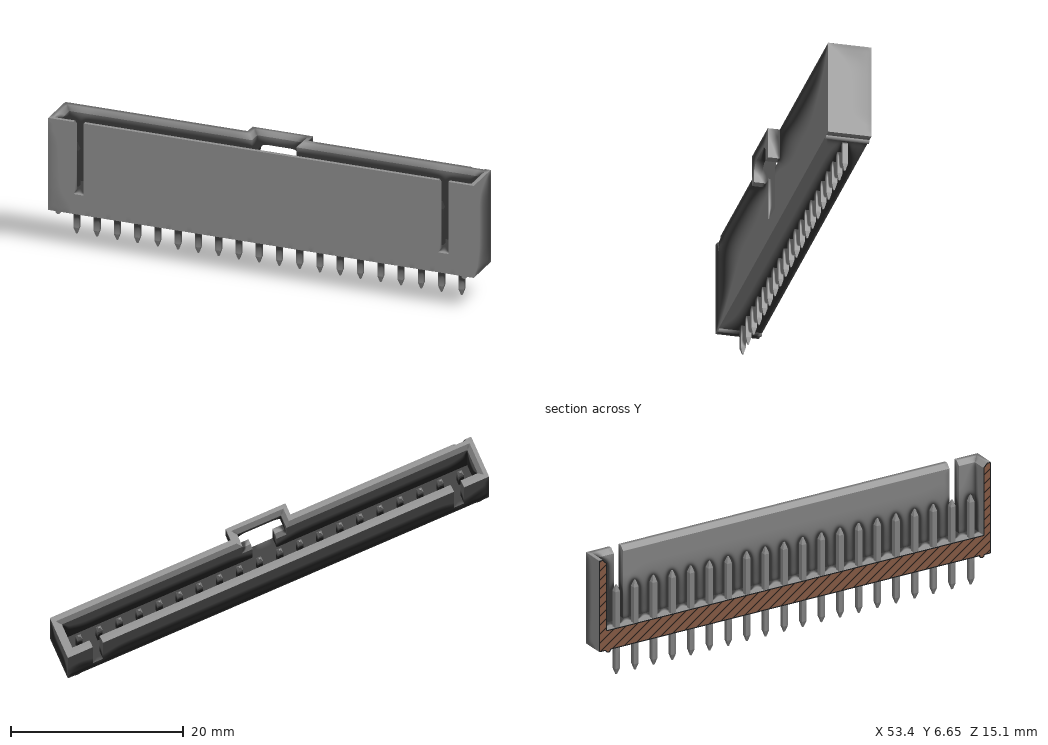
import cadquery as cq


length = 53.35
pin_count = 20
pitch = length / (pin_count + 1)
pin_width = 0.65
pin_tip_width = 0.15
pin_taper = 0.8
pin_y = 2.55
pin_below_housing = 3.5
pin_below_rim = 3.75

depth = 5.2
height = 11.6
wall = 1.0
back_wall = 1.2
floor_height = 2.5
lead_in_width = 0.55
lead_in_height = 0.55

pocket_length = 7.6
pocket_projection = 1.45
pocket_height = 3.8
window_top_below_rim = 1.55
window_corner_radius = 1.3
back_slot_width = 3.05

front_slot_width = 1.3
front_slot_from_end = 1.5 * pitch
rib_radius = 0.3
rib_from_end = 1.25
mark_width = 1.6
mark_length = 1.55
mark_depth = 0.15
mark_from_end = 1.55

pocket_opening = pocket_length - 2 * wall
pocket_back = depth + pocket_projection
cavity_back = depth - back_wall
ledge_height = height - pocket_height


def block(x_size, y_min, y_max, z_min, z_max, x_mid=0):
    """Box centred on x_mid with the given Y and Z limits."""
    box = cq.Workplane("XY").box(x_size, y_max - y_min, z_max - z_min, centered=(True, False, False))
    return box.translate((x_mid, y_min, z_min))


def flared_opening(x_size, y_min, y_max, z_min, z_top):
    """Rectangular opening up to z_top whose mouth widens by the lead-in on all four sides."""
    straight = block(x_size, y_min, y_max, z_min, z_top)
    mouth = (
        cq.Workplane("XY", origin=(0, (y_min + y_max) / 2, z_top - lead_in_height))
        .rect(x_size, y_max - y_min)
        .workplane(offset=lead_in_height)
        .rect(x_size + 2 * lead_in_width, y_max - y_min + 2 * lead_in_width)
        .loft(ruled=True)
    )
    return straight.union(mouth)


def make_housing():
    """Open-topped shroud with the latch pocket standing out from its back wall."""
    body = block(length, 0, depth, 0, height)
    pocket = block(pocket_length, depth, pocket_back, ledge_height, height)
    cavity = flared_opening(length - 2 * wall, wall, cavity_back, floor_height, height)
    opening = flared_opening(pocket_opening, pin_y, pocket_back - wall, ledge_height, height)
    return body.union(pocket).cut(cavity).cut(opening)


def make_back_cuts():
    """Latch window, lead-in along the lowered back wall and the slot down to the floor."""
    window = block(pocket_opening, depth, pocket_back, ledge_height, height - window_top_below_rim)
    window = window.edges("|Y and >Z").fillet(window_corner_radius)
    ledge_lead_in = (
        cq.Workplane("YZ")
        .moveTo(cavity_back, ledge_height - lead_in_height)
        .lineTo(cavity_back + lead_in_width, ledge_height)
        .lineTo(cavity_back, ledge_height)
        .close()
        .extrude(pocket_opening / 2, both=True)
    )
    slot = block(back_slot_width, pin_y, depth, floor_height, ledge_height)
    return window.union(ledge_lead_in).union(slot)


def make_front_slot(x):
    """Narrow slot through the front wall, open at the rim and ending at the cavity floor."""
    return block(front_slot_width, 0, pin_y, floor_height, height, x_mid=x)


def make_rib(x):
    """Half-round standoff rib running the full depth of the underside."""
    return cq.Workplane("XZ").center(x, 0).circle(rib_radius).extrude(-depth)


def make_pin_one_mark():
    """Shallow triangular recess in the back face, pointing down from the rim."""
    x = length / 2 - mark_from_end
    return (
        cq.Workplane("XZ", origin=(0, depth, 0))
        .moveTo(x - mark_width / 2, height)
        .lineTo(x + mark_width / 2, height)
        .lineTo(x, height - mark_length)
        .close()
        .extrude(mark_depth)
    )


def make_pin():
    """Square contact with a blunt pyramid at each end."""
    shaft_bottom = pin_taper - pin_below_housing
    shaft_top = height - pin_below_rim - pin_taper
    shaft = cq.Workplane("XY", origin=(0, 0, shaft_bottom)).rect(pin_width, pin_width)
    pin = shaft.extrude(shaft_top - shaft_bottom)
    for face, outward in ((shaft_bottom, -1), (shaft_top, 1)):
        tip = (
            cq.Workplane("XY", origin=(0, 0, face))
            .rect(pin_width, pin_width)
            .workplane(offset=outward * pin_taper)
            .rect(pin_tip_width, pin_tip_width)
            .loft(ruled=True)
        )
        pin = pin.union(tip)
    return pin


result = make_housing().cut(make_back_cuts()).cut(make_pin_one_mark())

for side in (-1, 1):
    result = result.cut(make_front_slot(side * (length / 2 - front_slot_from_end)))
    result = result.union(make_rib(side * (length / 2 - rib_from_end)))

contact = make_pin()
for index in range(pin_count):
    pin_x = (index - (pin_count - 1) / 2) * pitch
    result = result.union(contact.translate((pin_x, pin_y, 0)))